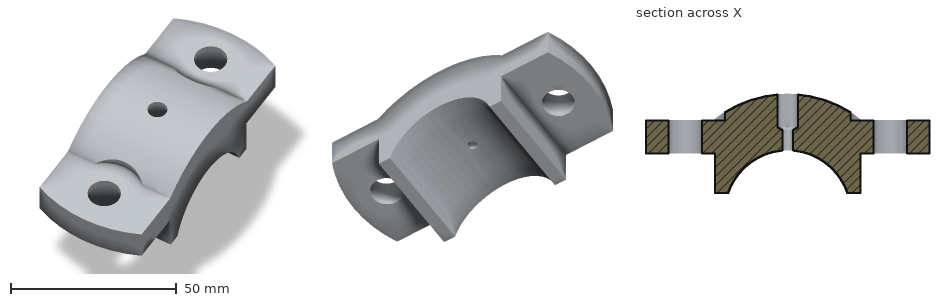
import cadquery as cq
import math

length = 85.7
width = 36.0
height = 30.0

flange_bottom = 12.0
flange_top = 22.0
leg_span = 43.95

crown_radius = 35.5
crown_axis_z = height - crown_radius
bore_radius = 18.9
bore_axis_z = -6.0

bolt_offset = 30.9
bolt_diameter = 10.0
seat_radius = 12.0

oil_diameter = 3.0
oil_bore_diameter = 6.0
oil_bore_depth = 10.0
drill_point_angle = 118.0
drill_point_depth = (
    (oil_bore_diameter - oil_diameter) / 2 / math.tan(math.radians(drill_point_angle / 2))
)


def cylinder_along_x(radius, axis_z):
    return cq.Workplane("YZ").center(0, axis_z).circle(radius).extrude(width / 2, both=True)


def make_body():
    flange = (
        cq.Workplane("XY", origin=(0, 0, flange_bottom))
        .circle(length / 2)
        .extrude(flange_top - flange_bottom)
    )
    width_limit = cq.Workplane("XY").box(width, length, height, centered=(True, True, False))
    legs = cq.Workplane("XY").box(width, leg_span, flange_top, centered=(True, True, False))
    above_flange = cq.Workplane("XY", origin=(0, 0, flange_top)).box(
        width, length, height - flange_top, centered=(True, True, False)
    )
    crown = cylinder_along_x(crown_radius, crown_axis_z).intersect(above_flange)
    return flange.intersect(width_limit).union(legs).union(crown)


def cut_bolt_holes(body):
    centers = [(0, -bolt_offset), (0, bolt_offset)]
    holes = cq.Workplane("XY").pushPoints(centers).circle(bolt_diameter / 2).extrude(height)
    seats = (
        cq.Workplane("XY", origin=(0, 0, flange_top))
        .pushPoints(centers)
        .circle(seat_radius)
        .extrude(height - flange_top)
    )
    return body.cut(holes).cut(seats)


def cut_oil_hole(body):
    hole = cq.Workplane("XY").circle(oil_diameter / 2).extrude(height)
    bore_bottom = height - oil_bore_depth
    bore = (
        cq.Workplane("XY", origin=(0, 0, bore_bottom))
        .circle(oil_bore_diameter / 2)
        .extrude(oil_bore_depth)
    )
    drill_point = cq.Solid.makeCone(
        oil_diameter / 2,
        oil_bore_diameter / 2,
        drill_point_depth,
        pnt=cq.Vector(0, 0, bore_bottom - drill_point_depth),
    )
    return body.cut(hole).cut(bore).cut(cq.Workplane(drill_point))


body = make_body().cut(cylinder_along_x(bore_radius, bore_axis_z))
result = cut_oil_hole(cut_bolt_holes(body))